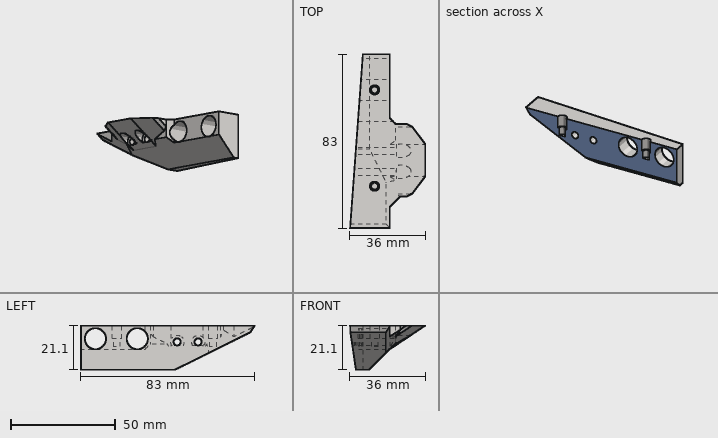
import cadquery as cq
import math

LENGTH = 83.0
HEIGHT = 21.14
TOTAL_WIDTH = 36.0

BAR_WIDTH = 19.0
SIDE_TAPER = 6.1
NOSE_LENGTH = 2.05
NOSE_HEIGHT = 3.3
RAKE_END_Y = 38.0
FLOOR_EDGE_X = 9.15
CORNER_TRIM_CLEARANCE = 0.18
BEVEL_TOP_Z = -HEIGHT + (BAR_WIDTH - FLOOR_EDGE_X)

LUG_REACH = TOTAL_WIDTH - BAR_WIDTH
LUG_DEPTH = -BEVEL_TOP_Z
LUG_SLOPE = LUG_DEPTH / LUG_REACH
LUG_CENTER_Y = 32.4
LUG_HALF_WIDTH = 17.4
LUG_SHOULDER_HALF_WIDTH = 16.1
LUG_FLAT_HALF_WIDTH = 7.7
LUG_WALL_DEPTH = 5.25
LUG_SHOULDER_DEPTH = 7.07
LUG_ROOT_X = 17.0

FRONT_GUSSET = 5.0
REAR_GUSSET = 2.7

SCREW_X = 11.75
SCREW_YS = (20.0, 66.0)
SCREW_BORE_DIAMETER = 4.5
SCREW_BORE_DEPTH = 6.0
SCREW_PILOT_DIAMETER = 3.2
SCREW_PILOT_DEPTH = 10.0

LARGE_HOLE_DIAMETER = 10.0
LARGE_HOLE_YS = (56.0, 76.0)
LARGE_HOLE_Z = -6.3
SMALL_HOLE_DIAMETER = 3.3
SMALL_HOLE_YS = (27.0, 37.0)
SMALL_HOLE_Z = -7.8
SMALL_HOLE_HEAD_DIAMETER = 6.4
SMALL_HOLE_HEAD_SEAT_X = 22.0


def side_profile_prism(points):
    """Prism over the full width from an outline given as (y, z) points."""
    return cq.Workplane("YZ").polyline(points).close().extrude(TOTAL_WIDTH)


def front_profile_prism(points):
    """Prism over the full length from an outline given as (x, z) points."""
    return cq.Workplane("XZ").polyline(points).close().extrude(-LENGTH)


def plan_prism(points):
    """Prism from the top face down to the floor from an outline given as (x, y) points."""
    return cq.Workplane("XY").polyline(points).close().extrude(-HEIGHT)


def bar_envelope():
    """Region between the top face, the floor and the 45 degree bevel."""
    return front_profile_prism([
        (0, 0),
        (FLOOR_EDGE_X + HEIGHT, 0),
        (FLOOR_EDGE_X, -HEIGHT),
        (0, -HEIGHT),
    ])


def front_corner_cutter():
    """Everything outside the oblique plane that trims the front outer edge of bar and gusset.

    The plane passes just outside the front top corner, at 45 degrees to both the rake and the side wall.
    """
    rake_angle = math.atan2(HEIGHT - NOSE_HEIGHT, RAKE_END_Y - NOSE_LENGTH)
    along_rake = cq.Vector(0, math.cos(rake_angle), -math.sin(rake_angle))
    rake_outward = cq.Vector(0, -math.sin(rake_angle), -math.cos(rake_angle))
    side_outward = cq.Vector(1, 0, 0)
    plane = cq.Plane(
        origin=(BAR_WIDTH + CORNER_TRIM_CLEARANCE, 0, 0),
        xDir=along_rake,
        normal=rake_outward + side_outward,
    )
    reach = 2 * LENGTH
    return cq.Workplane(plane).rect(reach, reach).extrude(LENGTH)


def make_bar_with_gussets():
    """Plan outline of bar and gussets, trimmed by the raked side profile, bevel and corner plane."""
    lug_front = LUG_CENTER_Y - LUG_HALF_WIDTH
    lug_rear = LUG_CENTER_Y + LUG_HALF_WIDTH
    plan = plan_prism([
        (0, 0),
        (BAR_WIDTH, 0),
        (BAR_WIDTH, lug_front - FRONT_GUSSET),
        (BAR_WIDTH + FRONT_GUSSET, lug_front),
        (BAR_WIDTH + FRONT_GUSSET, LUG_CENTER_Y),
        (BAR_WIDTH + REAR_GUSSET, LUG_CENTER_Y),
        (BAR_WIDTH + REAR_GUSSET, lug_rear),
        (BAR_WIDTH, lug_rear + REAR_GUSSET),
        (BAR_WIDTH, LENGTH),
        (SIDE_TAPER, LENGTH),
    ])
    raked_side = side_profile_prism([
        (0, 0),
        (NOSE_LENGTH, -NOSE_HEIGHT),
        (RAKE_END_Y, -HEIGHT),
        (LENGTH, -HEIGHT),
        (LENGTH, 0),
    ])
    return plan.intersect(raked_side).intersect(bar_envelope()).cut(front_corner_cutter())


def make_lug():
    """Faceted section extruded up the lug slope and trimmed at the top face."""
    root_drop = LUG_SLOPE * (BAR_WIDTH - LUG_ROOT_X)
    half_section = [
        (LUG_HALF_WIDTH, 0),
        (LUG_HALF_WIDTH, -LUG_WALL_DEPTH),
        (LUG_SHOULDER_HALF_WIDTH, -LUG_SHOULDER_DEPTH),
        (LUG_FLAT_HALF_WIDTH, -LUG_DEPTH),
    ]
    front_half = [(LUG_CENTER_Y - offset, z - root_drop) for offset, z in half_section]
    rear_half = [(LUG_CENTER_Y + offset, z - root_drop) for offset, z in reversed(half_section)]
    outline = [cq.Vector(LUG_ROOT_X, y, z) for y, z in front_half + rear_half]
    section = cq.Face.makeFromWires(cq.Wire.makePolygon(outline, close=True))
    run = TOTAL_WIDTH - LUG_ROOT_X
    up_slope = cq.Vector(run, 0, run * LUG_SLOPE)
    swept = cq.Workplane(cq.Solid.extrudeLinear(section, up_slope))
    above_top = cq.Workplane("XY").box(TOTAL_WIDTH, LENGTH, HEIGHT, centered=False)
    return swept.cut(above_top)


def cross_holes(ys, z, diameter, start_x=0.0):
    """Cylinders along +X from start_x outwards."""
    centers = [(y, z) for y in ys]
    start_plane = cq.Workplane("YZ").workplane(offset=start_x)
    return start_plane.pushPoints(centers).circle(diameter / 2).extrude(TOTAL_WIDTH)


def screw_holes(diameter, depth):
    """Cylinders down from the top face."""
    centers = [(SCREW_X, y) for y in SCREW_YS]
    return cq.Workplane("XY").pushPoints(centers).circle(diameter / 2).extrude(-depth)


result = make_bar_with_gussets().union(make_lug())
result = result.cut(cross_holes(LARGE_HOLE_YS, LARGE_HOLE_Z, LARGE_HOLE_DIAMETER))
result = result.cut(cross_holes(SMALL_HOLE_YS, SMALL_HOLE_Z, SMALL_HOLE_DIAMETER))
result = result.cut(
    cross_holes(SMALL_HOLE_YS, SMALL_HOLE_Z, SMALL_HOLE_HEAD_DIAMETER, SMALL_HOLE_HEAD_SEAT_X)
)
result = result.cut(screw_holes(SCREW_BORE_DIAMETER, SCREW_BORE_DEPTH))
result = result.cut(screw_holes(SCREW_PILOT_DIAMETER, SCREW_PILOT_DEPTH))